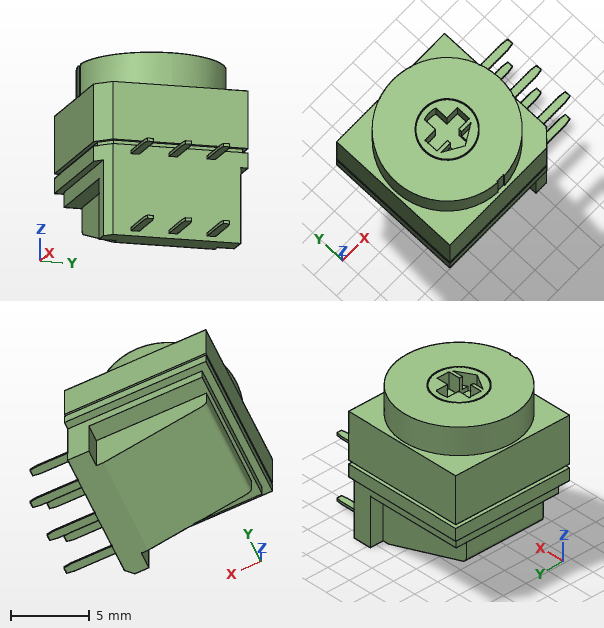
import cadquery as cq


body_side = 10.0
half_side = body_side / 2
corner_bevel = 1.0

foot_height = 4.0
base_height = 1.0
plate_height = 1.0
groove_height = 0.3
housing_height = 3.8
dial_height = 2.21

base_bottom = foot_height
plate_bottom = base_bottom + base_height
groove_bottom = plate_bottom + plate_height
housing_bottom = groove_bottom + groove_height
dial_bottom = housing_bottom + housing_height
dial_top = dial_bottom + dial_height

groove_inset = 0.3
base_inset = 0.5

wall_thickness = 1.5
rib_width = 6.75
rib_inset = 0.73
rib_end_bottom = 2.25
rib_flat_length = 2.0
rib_corner_radius = 0.5

dial_diameter = 9.6
mark_width = 0.6
mark_depth = 0.1
ring_outer_diameter = 4.1
ring_inner_diameter = 4.0
ring_depth = 0.1

cross_arm_width = 1.05
cross_length = 3.0
arrow_reach = 1.59
arrow_half_width = 1.39
arrow_base_y = -0.78
cross_depth = 1.34
arrow_depth = 1.0

pin_length = 3.5
pin_width = 0.55
pin_thickness = 0.2
pin_tip_length = 0.51
pin_tip_width = 0.4
pin_pitch = 2.54
lower_pin_z = 0.43
pin_row_spacing = 5.08
pin_root = 0.5


def footprint():
    """Square housing outline with its bevelled corner, as a closed wire."""
    return cq.Workplane("XY").polyline(
        [
            (-half_side, -half_side),
            (half_side - corner_bevel, -half_side),
            (half_side, -half_side + corner_bevel),
            (half_side, half_side),
            (-half_side, half_side),
        ]
    ).close()


def layer(bottom, height, inset=0):
    """One housing layer, optionally shrunk evenly on all sides."""
    outline = footprint()
    if inset:
        outline = outline.offset2D(-inset)
    return outline.extrude(height).translate((0, 0, bottom))


def box(x_min, x_max, width, z_min, z_max):
    """Block centred on Y = 0."""
    return cq.Workplane("XY").box(
        x_max - x_min, width, z_max - z_min, centered=(False, True, False)
    ).translate((x_min, 0, z_min))


def foot_and_base():
    """Base block with the upright wall below it, cut to the bevelled corner."""
    width = body_side - 2 * base_inset
    base = box(-half_side + base_inset, half_side, width, base_bottom, plate_bottom)
    wall = box(half_side - wall_thickness, half_side, width, 0, base_bottom)
    return base.union(wall).intersect(layer(0, plate_bottom))


def rib():
    """Tapered rib under the base, with a rounded lower edge at its free end."""
    end_x = -half_side + rib_inset
    return (
        cq.Workplane("XZ")
        .moveTo(end_x, base_bottom)
        .lineTo(end_x, rib_end_bottom)
        .lineTo(half_side - rib_flat_length, 0)
        .lineTo(half_side - wall_thickness, 0)
        .lineTo(half_side - wall_thickness, base_bottom)
        .close()
        .extrude(rib_width / 2, both=True)
        .edges(cq.selectors.NearestToPointSelector((end_x, 0, rib_end_bottom)))
        .fillet(rib_corner_radius)
    )


def dial():
    """Round dial with an index slot in its rim and a thin ring groove on top."""
    top = cq.Workplane("XY").workplane(offset=dial_top)
    disc = top.circle(dial_diameter / 2).extrude(-dial_height)
    rim_slot = (
        top.center(0, -dial_diameter / 2)
        .rect(mark_width, 2 * mark_depth)
        .extrude(-dial_height)
    )
    ring = (
        top.circle(ring_outer_diameter / 2)
        .circle(ring_inner_diameter / 2)
        .extrude(-ring_depth)
    )
    return disc.cut(rim_slot).cut(ring)


def driver_recess():
    """Cross recess with one round end, one pointed end and a shallower arrow head."""
    top = cq.Workplane("XY").workplane(offset=dial_top)
    arrow_outline = [
        (-arrow_half_width, arrow_base_y),
        (arrow_half_width, arrow_base_y),
        (0, -arrow_reach),
    ]
    arrow_head = top.polyline(arrow_outline).close().extrude(-arrow_depth)
    deep_arrow = top.polyline(arrow_outline).close().extrude(-cross_depth)

    cross_bar = top.rect(cross_length, cross_arm_width).extrude(-cross_depth)
    upper_arm = (
        top.center(0, arrow_reach / 2)
        .rect(cross_arm_width, arrow_reach)
        .extrude(-cross_depth)
        .intersect(top.circle(arrow_reach).extrude(-cross_depth))
    )
    neck = (
        top.center(0, arrow_base_y / 2)
        .rect(cross_arm_width, -arrow_base_y)
        .extrude(-cross_depth)
    )
    point = top.rect(cross_arm_width, 2 * arrow_reach).extrude(-cross_depth).intersect(deep_arrow)
    return cross_bar.union(upper_arm).union(neck).union(point).union(arrow_head)


def pin(y, z):
    """Flat pin with a tapered tip, rooted inside the foot wall."""
    tip_x = half_side + pin_length
    shoulder_x = tip_x - pin_tip_length
    root_x = half_side - pin_root
    return (
        cq.Workplane("XY")
        .polyline(
            [
                (root_x, -pin_width / 2),
                (shoulder_x, -pin_width / 2),
                (tip_x, -pin_tip_width / 2),
                (tip_x, pin_tip_width / 2),
                (shoulder_x, pin_width / 2),
                (root_x, pin_width / 2),
            ]
        )
        .close()
        .extrude(pin_thickness / 2, both=True)
        .translate((0, y, z))
    )


result = (
    layer(housing_bottom, housing_height)
    .union(layer(groove_bottom, groove_height, groove_inset))
    .union(layer(plate_bottom, plate_height))
    .union(foot_and_base())
    .union(rib())
    .union(dial())
    .cut(driver_recess())
)

for pin_z in (lower_pin_z, lower_pin_z + pin_row_spacing):
    for pin_y in (-pin_pitch, 0, pin_pitch):
        result = result.union(pin(pin_y, pin_z))